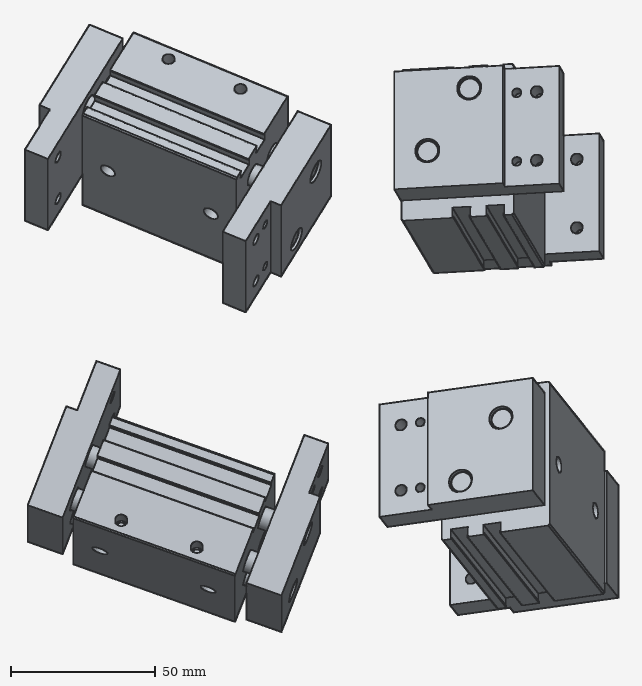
import cadquery as cq
import math


overall_length = 94.0
overall_depth = 58.0
jaw_gap = 4.0
jaw_thickness = 13.0

housing_length = overall_length - 2 * (jaw_thickness + jaw_gap)
housing_depth = 39.6
housing_height = 55.0
edge_chamfer = 0.6

slot_distances = (21.15, 33.1)
slot_throat_width = 5.6
slot_inner_width = 6.3
slot_lip = 0.6
slot_depth = 3.8

mount_hole_diameter = 5.5
mount_hole_offset = 20.0

port_diameter = 4.2
port_floor_diameter = 3.2
port_offset = 14.0
port_distance = 5.0
port_depth = 7.5

drill_point_angle = 118.0

jaw_height = 43.0
jaw_back_inset = 0.6
jaw_step_depth = 4.0
jaw_body_depth = 38.35

finger_hole_height = 12.5
bolt_hole_diameter = 4.1
bolt_hole_distance = 50.1
dowel_hole_diameter = 3.2
dowel_hole_distance = 43.05
dowel_hole_depth = 5.6

rod_diameter = 8.0
rod_end_chamfer = 0.4
rod_end_recess = 0.9
rod_clearance_diameter = 8.5
back_rod_y = -12.2
back_rod_height = 8.0
front_rod_y = -27.0
front_rod_height = 14.0

left_rod_places = [(back_rod_y, back_rod_height), (front_rod_y, -front_rod_height)]
right_rod_places = [(y, -z) for y, z in left_rod_places]

half_overall = overall_length / 2
half_housing = housing_length / 2
half_height = housing_height / 2
jaw_inner_x = half_housing + jaw_gap


def centred_box(length, depth, height, y_middle, z_middle):
    """Box centred on X = 0 and on the given Y and Z."""
    return cq.Workplane("XY").box(length, depth, height).translate((0, y_middle, z_middle))


def cylinders_along_x(places, diameter, x_start, length):
    """Cylinders in the +X direction at the given (Y, Z) places."""
    return cq.Workplane("YZ", origin=(x_start, 0, 0)).pushPoints(places).circle(diameter / 2).extrude(length)


def drilled_hole(diameter, wall_depth, floor_diameter=0.0):
    """Blind hole cutter going down from the origin, its end tapering to a flat floor or to a point."""
    radius = diameter / 2
    floor_radius = floor_diameter / 2
    taper_height = (radius - floor_radius) / math.tan(math.radians(drill_point_angle / 2))
    wall = cq.Workplane("XY").circle(radius).extrude(-wall_depth)
    wall_end = cq.Vector(0, 0, -wall_depth)
    taper = cq.Solid.makeCone(radius, floor_radius, taper_height, wall_end, cq.Vector(0, 0, -1))
    return wall.union(cq.Workplane(taper))


def t_slot(distance, side):
    """T-slot cutter along the housing; side is +1 on the top and -1 on the bottom."""
    inner_height = slot_depth - slot_lip
    throat_z = side * (half_height - slot_depth / 2)
    inner_z = side * (half_height - slot_lip - inner_height / 2)
    throat = centred_box(housing_length, slot_throat_width, slot_depth, -distance, throat_z)
    inner = centred_box(housing_length, slot_inner_width, inner_height, -distance, inner_z)
    return throat.union(inner)


def make_housing():
    body = centred_box(housing_length, housing_depth, housing_height, -housing_depth / 2, 0)
    body = body.edges("|X").chamfer(edge_chamfer)

    for distance in slot_distances:
        for side in (1, -1):
            body = body.cut(t_slot(distance, side))

    mount_holes = (
        cq.Workplane("XZ")
        .pushPoints([(-mount_hole_offset, 0), (mount_hole_offset, 0)])
        .circle(mount_hole_diameter / 2)
        .extrude(housing_depth)
    )
    body = body.cut(mount_holes)

    port = drilled_hole(port_diameter, port_depth, port_floor_diameter)
    for x in (-port_offset, port_offset):
        body = body.cut(port.translate((x, -port_distance, half_height)))

    all_rods = left_rod_places + right_rod_places
    return body.cut(cylinders_along_x(all_rods, rod_diameter, -half_housing, housing_length))


def make_left_jaw():
    outer_x = -half_overall
    finger_x = outer_x + jaw_step_depth
    step_y = -jaw_back_inset - jaw_body_depth

    plate = (
        cq.Workplane("XY", origin=(0, 0, -jaw_height / 2))
        .moveTo(outer_x, -jaw_back_inset)
        .lineTo(outer_x, step_y)
        .lineTo(finger_x, step_y)
        .lineTo(finger_x, -overall_depth)
        .lineTo(-jaw_inner_x, -overall_depth)
        .lineTo(-jaw_inner_x, -jaw_back_inset)
        .close()
        .extrude(jaw_height)
    )

    plate = plate.cut(cylinders_along_x(right_rod_places, rod_clearance_diameter, outer_x, jaw_thickness))

    bolt_places = [(-bolt_hole_distance, side * finger_hole_height) for side in (1, -1)]
    plate = plate.cut(cylinders_along_x(bolt_places, bolt_hole_diameter, outer_x, jaw_thickness))
    dowel_hole = drilled_hole(dowel_hole_diameter, dowel_hole_depth).rotate((0, 0, 0), (0, 1, 0), -90)
    for side in (1, -1):
        plate = plate.cut(dowel_hole.translate((finger_x, -dowel_hole_distance, side * finger_hole_height)))

    rod_length = jaw_inner_x + half_overall - rod_end_recess
    rods = cylinders_along_x(left_rod_places, rod_diameter, -jaw_inner_x, rod_length)
    rods = rods.faces(">X").edges().chamfer(rod_end_chamfer)
    return plate.union(rods)


housing = make_housing()

jaws = [make_left_jaw().rotate((0, 0, 0), (0, 1, 0), angle) for angle in (0, 180)]

jaw_solids = [jaw.solids().val() for jaw in jaws]
result = cq.Compound.makeCompound([housing.solids().val(), *jaw_solids])